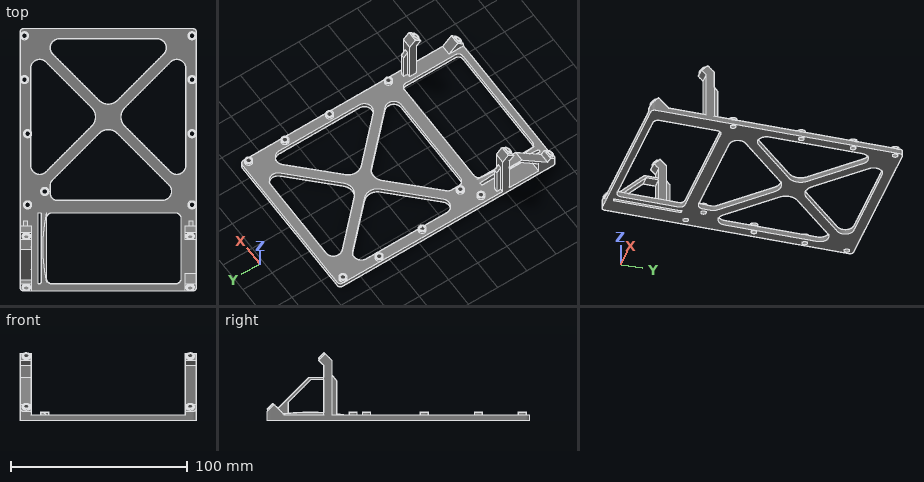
import cadquery as cq
import math

WIDTH = 100.0
LENGTH = 148.7
THICKNESS = 3.3
PLATE_CORNER_RADIUS = 2.2
HALF_WIDTH = WIDTH / 2

CROSS_Y = 98.6
CROSS_ARM_WIDTH = 6.0
OPENING_HALF_WIDTH = 43.9
OPENING_REAR_Y = 142.8
OPENING_FRONT_Y = 51.5
OPENING_CLIP_X = -32.7
POCKET_CORNER_RADIUS = 5.0
POCKET_CLIP_RADIUS = 3.5
POCKET_APEX_RADIUS = 7.5

WINDOW_LEFT = -35.0
WINDOW_RIGHT = 41.2
WINDOW_FRONT = 4.2
WINDOW_REAR = 44.2
WINDOW_RADIUS = 3.0
STRIP_LEFT = -38.1
SLOT_LEFT = -39.7
SLOT_ROOT_RADIUS = 0.7
STRIP_FRONT = 5.0
STRIP_RISE = 1.6
STRIP_BEVEL_WIDTH = 2.1

BOSS_DIAMETER = 4.6
BOSS_HOLE_DIAMETER = 3.1
BOSS_HEIGHT = 1.6
EDGE_BOSS_X = 47.5
INSET_BOSS_X = 45.7
BOSS_ROWS_Y = [144.5, 119.7, 89.1, 48.8]
INNER_BOSS = (-36.0, 56.4)

POST_WIDTH = 6.4
POST_FRONT_Y = 32.1
POST_REAR_Y = 36.9
POST_TOP_Y = 33.0
POST_TOP_Z = 38.0
FOOT_TOP_Y = 4.0
FOOT_TOP_Z = 9.2
SEAT_LENGTH = 5.4
SEAT_BOSS_HEIGHT = 0.9
SEAT_BOSS_INSET = 3.5
SEAT_BOSS_DROP = 2.4
SEAT_HOLE_DEPTH = 4.5
RIB_INSET = 2.0
RIB_WIDTH = 2.4
RIB_REAR_Y = 39.5
RIB_REAR_Z = 22.6
RIB_TOP_Z = 25.9
BRACE_TOP_Z = 24.5
BRACE_SHELF_THICKNESS = 1.3
BRACE_SLOPE_THICKNESS = 1.8
BRACE_FOOT_REAR_Y = 12.2
BRACE_SLOPE_OFFSET = 0.9


def round_corner(solid, x, y, radius):
    """Round the upright edge of a plate-thick prism nearest to (x, y)."""
    nearest = cq.selectors.NearestToPointSelector((x, y, THICKNESS / 2))
    return solid.edges("|Z").edges(nearest).fillet(radius)


def rounded_prism(corners):
    """Plate-thick prism from (x, y, radius) corners."""
    prism = cq.Workplane("XY").polyline([(x, y) for x, y, _ in corners]).close().extrude(THICKNESS)
    for x, y, radius in corners:
        prism = round_corner(prism, x, y, radius)
    return prism


def side_profile(points, x_start, width):
    """Extrude a (y, z) outline along +X from x_start."""
    return cq.Workplane("YZ", origin=(x_start, 0, 0)).polyline(points).close().extrude(width)


def plate_outline(height):
    """Block with the rounded outline of the plate."""
    block = cq.Workplane("XY").box(WIDTH, LENGTH, height, centered=(True, False, False))
    return block.edges("|Z").fillet(PLATE_CORNER_RADIUS)


def cross_pockets():
    """Four triangular pockets that leave an X of 45 degree arms."""
    apex = CROSS_ARM_WIDTH / 2 * math.sqrt(2)
    rear_half = OPENING_REAR_Y - CROSS_Y - apex
    front_half = CROSS_Y - apex - OPENING_FRONT_Y
    side_half = OPENING_HALF_WIDTH - apex
    rear = rounded_prism([
        (0, CROSS_Y + apex, POCKET_APEX_RADIUS),
        (rear_half, OPENING_REAR_Y, POCKET_CORNER_RADIUS),
        (-rear_half, OPENING_REAR_Y, POCKET_CORNER_RADIUS),
    ])
    front = rounded_prism([
        (0, CROSS_Y - apex, POCKET_APEX_RADIUS),
        (front_half, OPENING_FRONT_Y, POCKET_CORNER_RADIUS),
        (OPENING_CLIP_X, OPENING_FRONT_Y, POCKET_CLIP_RADIUS),
        (OPENING_CLIP_X, CROSS_Y - apex + OPENING_CLIP_X, POCKET_CLIP_RADIUS),
    ])
    right = rounded_prism([
        (apex, CROSS_Y, POCKET_APEX_RADIUS),
        (OPENING_HALF_WIDTH, CROSS_Y + side_half, POCKET_CORNER_RADIUS),
        (OPENING_HALF_WIDTH, CROSS_Y - side_half, POCKET_CORNER_RADIUS),
    ])
    return [rear, front, right, right.mirror("YZ")]


def window():
    """Rounded front window."""
    return rounded_prism([
        (x, y, WINDOW_RADIUS)
        for x, y in [
            (WINDOW_LEFT, WINDOW_FRONT),
            (WINDOW_RIGHT, WINDOW_FRONT),
            (WINDOW_RIGHT, WINDOW_REAR),
            (WINDOW_LEFT, WINDOW_REAR),
        ]
    ])


def strip_slot():
    """Narrow slot that separates the sprung strip from the plate rail."""
    slot_width = STRIP_LEFT - SLOT_LEFT
    slot_length = WINDOW_REAR - WINDOW_FRONT
    slot = cq.Workplane("XY").box(slot_width, slot_length, THICKNESS, centered=False)
    slot = slot.translate((SLOT_LEFT, WINDOW_FRONT, 0))
    return round_corner(slot, STRIP_LEFT, WINDOW_FRONT, SLOT_ROOT_RADIUS)


def strip_arch():
    """Shallow arch on top of the sprung strip, bevelled towards the window."""
    strip_width = WINDOW_LEFT - STRIP_LEFT
    middle = ((STRIP_FRONT + WINDOW_REAR) / 2, THICKNESS + STRIP_RISE)
    arch = (
        cq.Workplane("YZ", origin=(STRIP_LEFT, 0, 0))
        .moveTo(STRIP_FRONT, THICKNESS)
        .threePointArc(middle, (WINDOW_REAR, THICKNESS))
        .close()
        .extrude(strip_width)
    )
    bevel = (
        cq.Workplane("XZ")
        .polyline([
            (WINDOW_LEFT, THICKNESS),
            (WINDOW_LEFT, THICKNESS + STRIP_RISE),
            (WINDOW_LEFT - STRIP_BEVEL_WIDTH, THICKNESS + STRIP_RISE),
        ])
        .close()
        .extrude(-LENGTH)
    )
    return arch.cut(bevel)


def foot():
    """Left foot: a 45 degree ramp up to a 45 degree front seat."""
    ramp_rear_y = FOOT_TOP_Y + FOOT_TOP_Z - THICKNESS
    block = side_profile(
        [
            (0, 0),
            (ramp_rear_y, 0),
            (ramp_rear_y, THICKNESS),
            (FOOT_TOP_Y, FOOT_TOP_Z),
            (0, FOOT_TOP_Z - FOOT_TOP_Y),
        ],
        -HALF_WIDTH,
        POST_WIDTH,
    )
    return block.intersect(plate_outline(FOOT_TOP_Z))


def post():
    """Left post: upright bar with a slanted head and a thin rib behind it."""
    seat_run = SEAT_LENGTH / math.sqrt(2)
    head_low_y = POST_TOP_Y - seat_run
    head_low_z = POST_TOP_Z - seat_run
    bar = side_profile(
        [
            (POST_FRONT_Y, 0),
            (POST_REAR_Y, 0),
            (POST_REAR_Y, POST_TOP_Z - (POST_REAR_Y - POST_TOP_Y)),
            (POST_TOP_Y, POST_TOP_Z),
            (head_low_y, head_low_z),
            (POST_FRONT_Y, head_low_z - (POST_FRONT_Y - head_low_y)),
        ],
        -HALF_WIDTH,
        POST_WIDTH,
    )
    rib = side_profile(
        [
            (POST_FRONT_Y, 0),
            (RIB_REAR_Y, 0),
            (RIB_REAR_Y, RIB_REAR_Z),
            (POST_REAR_Y, RIB_TOP_Z),
            (POST_FRONT_Y, RIB_TOP_Z),
        ],
        -HALF_WIDTH + RIB_INSET,
        RIB_WIDTH,
    )
    return bar.union(rib)


def brace():
    """Bar from the left post that runs level, then 45 degrees down into the left foot."""
    ramp_sum = FOOT_TOP_Y + FOOT_TOP_Z
    under_offset = BRACE_SLOPE_OFFSET - BRACE_SLOPE_THICKNESS * math.sqrt(2)
    valley_y = (ramp_sum - BRACE_SLOPE_OFFSET) / 2
    shelf_under_z = BRACE_TOP_Z - BRACE_SHELF_THICKNESS
    return side_profile(
        [
            (POST_FRONT_Y, BRACE_TOP_Z),
            (BRACE_TOP_Z - BRACE_SLOPE_OFFSET, BRACE_TOP_Z),
            (valley_y, valley_y + BRACE_SLOPE_OFFSET),
            (valley_y, 0),
            (BRACE_FOOT_REAR_Y, 0),
            (BRACE_FOOT_REAR_Y, BRACE_FOOT_REAR_Y + under_offset),
            (shelf_under_z - under_offset, shelf_under_z),
            (POST_FRONT_Y, shelf_under_z),
        ],
        -HALF_WIDTH,
        POST_WIDTH,
    )


def seat_plane(top_y, top_z):
    """Plane on a left 45 degree seat, centred on its boss."""
    drop = SEAT_BOSS_DROP / math.sqrt(2)
    return cq.Plane(
        origin=(-HALF_WIDTH + SEAT_BOSS_INSET, top_y - drop, top_z - drop),
        xDir=(1, 0, 0),
        normal=(0, -1, 1),
    )


def add_seat_boss(body, top_y, top_z):
    """Raise a ring boss on a seat and sink a blind hole through it."""
    plane = seat_plane(top_y, top_z)
    boss = cq.Workplane(plane).circle(BOSS_DIAMETER / 2).extrude(SEAT_BOSS_HEIGHT)
    hole = (
        cq.Workplane(plane)
        .workplane(offset=SEAT_BOSS_HEIGHT)
        .circle(BOSS_HOLE_DIAMETER / 2)
        .extrude(-SEAT_HOLE_DEPTH)
    )
    return body.union(boss).cut(hole)


plate = plate_outline(THICKNESS)
for opening in cross_pockets() + [window(), strip_slot()]:
    plate = plate.cut(opening)
plate = plate.union(strip_arch())

boss_points = [(EDGE_BOSS_X, y) for y in BOSS_ROWS_Y]
boss_points += [(-EDGE_BOSS_X, y) for y in BOSS_ROWS_Y[:2]]
boss_points += [(-INSET_BOSS_X, y) for y in BOSS_ROWS_Y[2:]]
boss_points.append(INNER_BOSS)
bosses = (
    cq.Workplane("XY", origin=(0, 0, THICKNESS))
    .pushPoints(boss_points)
    .circle(BOSS_DIAMETER / 2)
    .extrude(BOSS_HEIGHT)
)
boss_holes = (
    cq.Workplane("XY")
    .pushPoints(boss_points)
    .circle(BOSS_HOLE_DIAMETER / 2)
    .extrude(THICKNESS + BOSS_HEIGHT)
)
plate = plate.union(bosses).cut(boss_holes)

left_post = add_seat_boss(post(), POST_TOP_Y, POST_TOP_Z)
left_foot = add_seat_boss(foot(), FOOT_TOP_Y, FOOT_TOP_Z)
result = plate.union(brace())
for support in [left_post, left_foot]:
    result = result.union(support).union(support.mirror("YZ"))